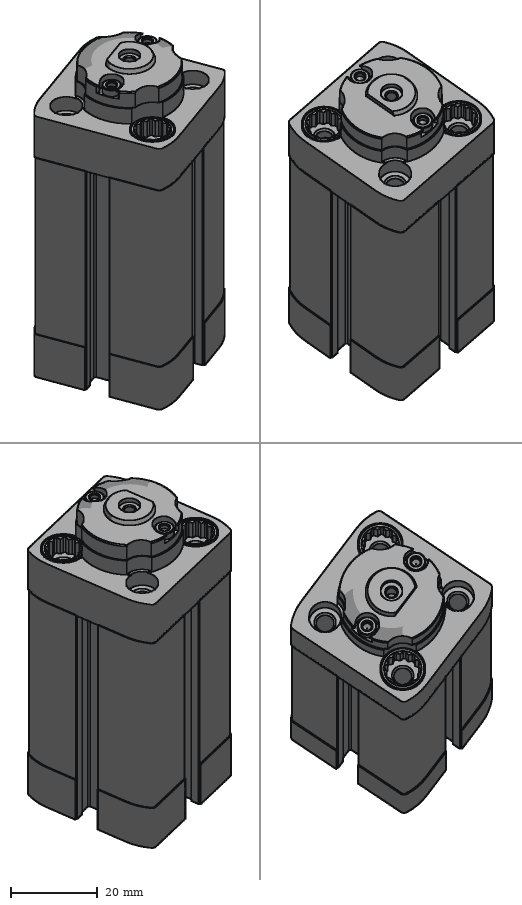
import cadquery as cq
import math

body_width = 35.5
total_height = 84.0
foot_height = 12.0
profile_inset = 0.25
head_top = 73.4
head_bottom = 61.65
boss_top = 77.7
cap_top = 82.9

corner_pitch = 22.0
side_arc_radius = 13.95
edge_radius = 1.2

groove_mouth = 5.7
groove_lip = 2.4
groove_inner = 6.7
groove_wall_depth = 5.5
groove_taper = 0.4
groove_chamfer = 0.25

bolt_bore = 4.1
bolt_bore_mouth = 5.0
recess_diameter = 7.5
recess_depth = 3.9
collar_diameter = 10.5
collar_chamfer = 0.3
socket_tip_radius = 4.2
socket_valley_radius = 3.7
socket_points = 12
socket_tip_angle = 8.0
socket_depth = 4.7
socket_mouth_radius = 4.4
socket_mouth_depth = 0.3

boss_diameter = 25.0
cap_diameter = 24.4
boss_relief_diameter = 9.0
cap_relief_diameter = 9.4
relief_floor = head_top + 0.25
cap_flat_diameter = 17.55
cap_cone_diameter = 24.0
cap_shoulder_radius = 1.0
cap_cone_bottom = 82.15
cap_edge_bottom = 81.7

rod_diameter = 12.0
rod_tip_diameter = 11.0
rod_flat_x = -4.0
rod_counterbore = 5.0
rod_counterbore_depth = 1.2
rod_thread_bore = 2.4
rod_thread_mouth = 3.0
rod_thread_depth = 4.2

screw_offset = 9.75
screw_seat = 80.05
screw_head_top = 81.9
screw_head_diameter = 4.45
screw_head_chamfer = 0.2
screw_shank_diameter = 2.5
screw_bottom = head_top
screw_socket_diameter = 2.2
screw_socket_mouth = 2.7
screw_socket_depth = 1.3
pocket_diameter = 5.6
pocket_gate_width = 4.45
pocket_flare_width = 5.8

half_width = body_width / 2
corner = corner_pitch / 2
collar_corners = [(-corner, corner), (corner, -corner)]
recess_corners = [(corner, corner), (-corner, -corner)]
all_corners = collar_corners + recess_corners
cap_radius = cap_diameter / 2
drill_slope = math.tan(math.radians(30))


def cylinder(diameter, bottom, top, points=((0, 0),)):
    """Upright cylinders of one diameter at the given places."""
    return (
        cq.Workplane("XY", origin=(0, 0, bottom))
        .pushPoints(points)
        .circle(diameter / 2)
        .extrude(top - bottom)
    )


def cone(bottom_radius, top_radius, bottom, top, place=(0, 0)):
    """Upright cone or frustum."""
    solid = cq.Solid.makeCone(
        bottom_radius, top_radius, top - bottom, cq.Vector(place[0], place[1], bottom)
    )
    return cq.Workplane(obj=solid)


def block(inset, bottom, top):
    """Slab with flat Y sides and X sides that curve in towards the corners."""
    half = half_width - inset
    radius = side_arc_radius - inset
    arc_centre_x = half - radius
    end_rise = half - corner
    end_x = arc_centre_x + math.sqrt(radius**2 - end_rise**2)
    half_sweep = math.asin(end_rise / radius) / 2
    mid_x = arc_centre_x + radius * math.cos(half_sweep)
    mid_y = corner + radius * math.sin(half_sweep)
    slab = (
        cq.Workplane("XY", origin=(0, 0, bottom))
        .moveTo(half, -corner)
        .lineTo(half, corner)
        .threePointArc((mid_x, mid_y), (end_x, half))
        .lineTo(-end_x, half)
        .threePointArc((-mid_x, mid_y), (-half, corner))
        .lineTo(-half, -corner)
        .threePointArc((-mid_x, -mid_y), (-end_x, -half))
        .lineTo(end_x, -half)
        .threePointArc((mid_x, -mid_y), (half, -corner))
        .close()
        .extrude(top - bottom)
    )
    for x, y in [(end_x, half), (-end_x, half), (-end_x, -half), (end_x, -half)]:
        near = cq.selectors.NearestToPointSelector((x, y, (bottom + top) / 2))
        slab = slab.edges("|Z").edges(near).fillet(edge_radius - inset)
    return slab


def groove():
    """T-shaped sensor groove in the -Y side, open at the foot, with a chamfered mouth and a tapered floor."""
    half_mouth = groove_mouth / 2
    half_inner = groove_inner / 2
    wide_mouth = half_mouth + groove_chamfer
    face = -half_width
    inner = face + profile_inset
    right_side = [
        (wide_mouth, face),
        (wide_mouth, inner),
        (half_mouth, inner + groove_chamfer),
        (half_mouth, face + groove_lip),
        (half_inner, face + groove_lip),
        (half_inner, face + groove_wall_depth),
        (half_inner - groove_taper, face + groove_wall_depth + groove_taper),
    ]
    left_side = [(-x, y) for x, y in reversed(right_side)]
    return cq.Workplane("XY").polyline(right_side + left_side).close().extrude(head_bottom)


def socket(place):
    """Twelve-point socket of a bolt collar, with a conical mouth."""
    points = []
    pitch = 360 / socket_points
    corners = [
        (socket_tip_radius, -socket_tip_angle / 2),
        (socket_tip_radius, socket_tip_angle / 2),
        (socket_valley_radius, pitch / 2),
    ]
    for i in range(socket_points):
        for radius, offset in corners:
            angle = math.radians(i * pitch + offset)
            x = place[0] + radius * math.cos(angle)
            y = place[1] + radius * math.sin(angle)
            points.append((x, y))
    floor = head_top - socket_depth
    star = cq.Workplane("XY", origin=(0, 0, floor)).polyline(points).close().extrude(socket_depth)
    mouth = cone(
        socket_valley_radius, socket_mouth_radius, head_top - socket_mouth_depth, head_top, place
    )
    return star.union(mouth)


def collar_rim(place):
    """V-groove left around a collar by the chamfer on its rim."""
    bottom = head_top - collar_chamfer
    ring = cylinder(collar_diameter, bottom, head_top, [place])
    rim_radius = collar_diameter / 2
    return ring.cut(cone(rim_radius, rim_radius - collar_chamfer, bottom, head_top, place))


def bolt_bore_cut(place, floor):
    """Through bore with a chamfered mouth at the floor of its recess."""
    chamfer = (bolt_bore_mouth - bolt_bore) / 2
    mouth = cone(bolt_bore / 2, bolt_bore_mouth / 2, floor - chamfer, floor, place)
    return cylinder(bolt_bore, 0, floor, [place]).union(mouth)


def make_housing():
    housing = block(0, 0, foot_height)
    housing = housing.union(block(profile_inset, foot_height, head_bottom))
    housing = housing.union(block(0, head_bottom, head_top))
    for turn in range(4):
        housing = housing.cut(groove().rotate((0, 0, 0), (0, 0, 1), 90 * turn))

    boss = cylinder(boss_diameter, head_top, boss_top)
    boss = boss.cut(cylinder(boss_relief_diameter, relief_floor, boss_top, recess_corners))
    boss = boss.cut(cylinder(collar_diameter, head_top, boss_top, collar_corners))
    housing = housing.union(boss)

    recess_floor = head_top - recess_depth
    for place in recess_corners:
        housing = housing.cut(cylinder(recess_diameter, recess_floor, boss_top, [place]))
        housing = housing.cut(bolt_bore_cut(place, recess_floor))
    for place in collar_corners:
        housing = housing.cut(collar_rim(place))
        housing = housing.cut(socket(place))
        housing = housing.cut(bolt_bore_cut(place, head_top - socket_depth))
    return housing


def screw_pocket():
    """Pocket for the screw on the -Y side, with a side opening that flares at 45 degrees."""
    half_gate = pocket_gate_width / 2
    half_flare = pocket_flare_width / 2
    flare_outer = -math.sqrt(cap_radius**2 - half_flare**2)
    flare_inner = flare_outer + half_flare - half_gate
    rim_y = -cap_radius
    spread = half_gate + flare_inner - rim_y
    clearance = cylinder(pocket_diameter, screw_seat, cap_top, [(0, -screw_offset)])
    gate = (
        cq.Workplane("XY", origin=(0, (rim_y - screw_offset) / 2, screw_seat))
        .rect(pocket_gate_width, -rim_y - screw_offset)
        .extrude(cap_top - screw_seat)
    )
    flare = (
        cq.Workplane("XY", origin=(0, 0, screw_seat))
        .moveTo(-half_gate, flare_inner)
        .lineTo(-spread, rim_y)
        .lineTo(spread, rim_y)
        .lineTo(half_gate, flare_inner)
        .close()
        .extrude(screw_head_top - screw_seat)
    )
    return clearance.union(gate).union(flare)


def make_cap():
    cap = (
        cq.Workplane("XZ")
        .moveTo(0, boss_top)
        .lineTo(cap_radius, boss_top)
        .lineTo(cap_radius, cap_edge_bottom)
        .lineTo(cap_cone_diameter / 2, cap_cone_bottom)
        .lineTo(cap_flat_diameter / 2, cap_top)
        .lineTo(0, cap_top)
        .close()
        .revolve(360, (0, 0), (0, 1))
        .faces(">Z")
        .edges()
        .fillet(cap_shoulder_radius)
    )
    cap = cap.cut(cylinder(cap_relief_diameter, boss_top, cap_top, all_corners))
    for turn in (0, 180):
        cap = cap.cut(screw_pocket().rotate((0, 0, 0), (0, 0, 1), turn))
    return cap


def rod_shape():
    """Outside of the rod: round, flattened on the -X side, with a tapered tip."""
    rod = cylinder(rod_diameter, head_bottom, cap_top)
    rod = rod.union(cone(rod_diameter / 2, rod_tip_diameter / 2, cap_top, total_height))
    flat = (
        cq.Workplane("XY", origin=(rod_flat_x - rod_diameter / 2, 0, head_bottom))
        .rect(rod_diameter, 2 * rod_diameter)
        .extrude(total_height - head_bottom)
    )
    return rod.cut(flat)


def make_rod():
    bore_radius = rod_thread_bore / 2
    mouth_radius = rod_thread_mouth / 2
    shoulder = total_height - rod_counterbore_depth
    bore_bottom = shoulder - rod_thread_depth
    rod = rod_shape()
    rod = rod.cut(cylinder(rod_counterbore, shoulder, total_height))
    rod = rod.cut(cone(bore_radius, mouth_radius, shoulder - (mouth_radius - bore_radius), shoulder))
    rod = rod.cut(cylinder(rod_thread_bore, bore_bottom, shoulder))
    return rod.cut(cone(0, bore_radius, bore_bottom - bore_radius * drill_slope, bore_bottom))


def screw_hole(place):
    return cylinder(screw_shank_diameter, screw_bottom, screw_seat, [place])


def make_screw(place):
    """Cap screw with a chamfered round socket that ends in a drill point."""
    socket_radius = screw_socket_diameter / 2
    socket_floor = screw_head_top - screw_socket_depth
    head = cylinder(screw_head_diameter, screw_seat, screw_head_top, [place])
    head = head.faces(">Z").edges().chamfer(screw_head_chamfer)
    mouth_bottom = screw_head_top - (screw_socket_mouth / 2 - socket_radius)
    head = head.cut(cone(socket_radius, screw_socket_mouth / 2, mouth_bottom, screw_head_top, place))
    head = head.cut(cylinder(screw_socket_diameter, socket_floor, screw_head_top, [place]))
    head = head.cut(
        cone(0, socket_radius, socket_floor - socket_radius * drill_slope, socket_floor, place)
    )
    return head.union(screw_hole(place))


screw_places = [(0, -screw_offset), (0, screw_offset)]
housing = make_housing().cut(rod_shape())
cap = make_cap().cut(rod_shape())
for place in screw_places:
    housing = housing.cut(screw_hole(place))
    cap = cap.cut(screw_hole(place))
rod = make_rod()
screws = [make_screw(place) for place in screw_places]

result = cq.Compound.makeCompound(
    [housing.val(), cap.val(), rod.val(), *[screw.val() for screw in screws]]
)